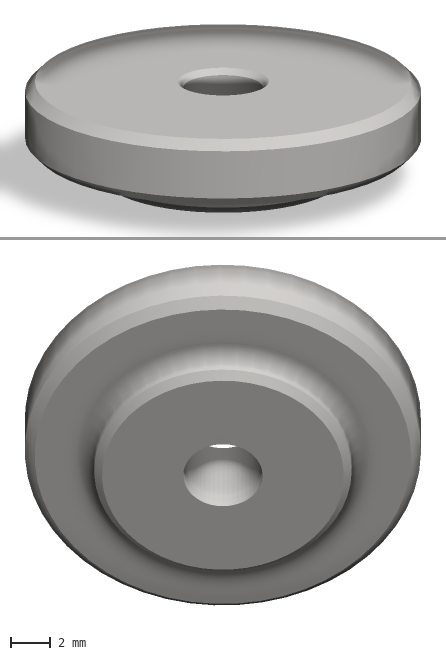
import cadquery as cq

disc_diameter = 20.0
disc_thickness = 3.5
disc_chamfer = 0.5

boss_diameter = 13.0
boss_height = 1.5
boss_chamfer = 0.4
boss_root_fillet = 0.8

hole_diameter = 4.0
hole_chamfer = 0.3
hole_chamfer_cone_angle = 90.0

disc_radius = disc_diameter / 2
boss_radius = boss_diameter / 2
total_height = disc_thickness + boss_height


def make_body():
    """Revolve the half profile of disc and boss about Z, with the boss end at Z = 0."""
    return (
        cq.Workplane("XZ")
        .lineTo(boss_radius - boss_chamfer, 0)
        .lineTo(boss_radius, boss_chamfer)
        .lineTo(boss_radius, boss_height - boss_root_fillet)
        .radiusArc((boss_radius + boss_root_fillet, boss_height), boss_root_fillet)
        .lineTo(disc_radius - disc_chamfer, boss_height)
        .lineTo(disc_radius, boss_height + disc_chamfer)
        .lineTo(disc_radius, total_height - disc_chamfer)
        .lineTo(disc_radius - disc_chamfer, total_height)
        .lineTo(0, total_height)
        .close()
        .revolve(360, (0, 0, 0), (0, 1, 0))
    )


def cut_hole(body):
    """Cut the central through hole with a chamfered mouth on the disc face."""
    mouth_diameter = hole_diameter + 2 * hole_chamfer
    return body.faces(">Z").workplane().cskHole(hole_diameter, mouth_diameter, hole_chamfer_cone_angle)


result = cut_hole(make_body())